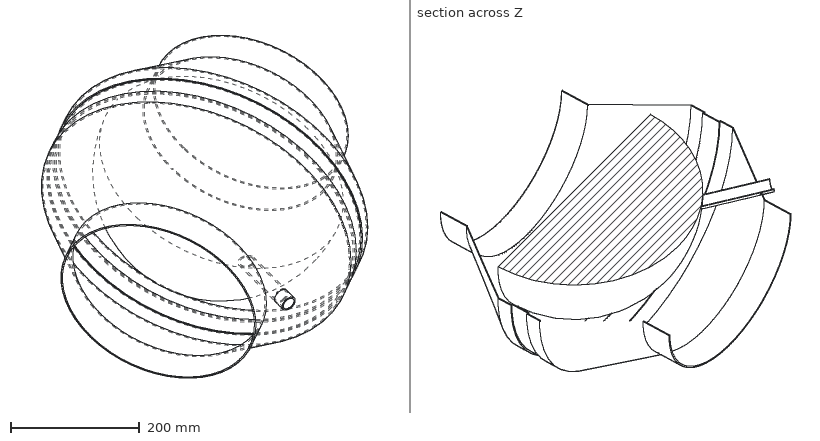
import cadquery as cq
import math

wall = 2.5
spigot_radius = 160.0
spigot_length = 50.0
cone_length = 130.0
collar_radius = 254.0
collar_length = 25.0
collar_gap = 30.0
band_radius = collar_radius - wall

collar_inner_y = collar_gap / 2
collar_outer_y = collar_inner_y + collar_length
cone_end_y = collar_outer_y + cone_length
housing_end_y = cone_end_y + spigot_length

band_overlap = 1.0
band_half_width = collar_inner_y + band_overlap

dome_radius = 200.0
dome_apex_y = -120.0
dome_back_y = dome_apex_y + dome_radius

tube_radius = 12.5
tube_bore_radius = 10.0
tube_protrusion = 20.0
tube_distance_from_spigot = 28.0
tube_length = 150.0


def revolve_about_y(profile):
    return profile.close().revolve(360, (0, 0, 0), (0, 1, 0))


def make_shell(side):
    """Spigot, cone and collar on one side; side is -1 for front, +1 for rear."""
    outer = [
        (collar_radius, side * collar_inner_y),
        (collar_radius, side * collar_outer_y),
        (spigot_radius, side * cone_end_y),
        (spigot_radius, side * housing_end_y),
    ]
    inner = [(radius - wall, y) for radius, y in reversed(outer)]
    return revolve_about_y(cq.Workplane("XY").polyline(outer + inner))


def make_band():
    profile = cq.Workplane("XY").polyline([
        (band_radius, -band_half_width),
        (band_radius, band_half_width),
        (band_radius - wall, band_half_width),
        (band_radius - wall, -band_half_width),
    ])
    return revolve_about_y(profile)


def make_dome():
    arc_middle = (
        dome_radius * math.sin(math.pi / 4),
        dome_back_y - dome_radius * math.cos(math.pi / 4),
    )
    profile = (
        cq.Workplane("XY")
        .moveTo(0, dome_back_y)
        .lineTo(0, dome_apex_y)
        .threePointArc(arc_middle, (dome_radius, dome_back_y))
    )
    return revolve_about_y(profile)


def make_tube_cylinder(radius):
    up_cone = cq.Vector(collar_radius - spigot_radius, cone_length, 0).normalized()
    outward = cq.Vector(up_cone.y, -up_cone.x, 0)
    cone_edge = cq.Vector(spigot_radius, -cone_end_y, 0)
    start = cone_edge + up_cone * tube_distance_from_spigot + outward * tube_protrusion
    return cq.Workplane(cq.Solid.makeCylinder(radius, tube_length, start, outward * -1))


housing = make_shell(-1).union(make_shell(1)).union(make_band())
tube = make_tube_cylinder(tube_radius)
tube_bore = make_tube_cylinder(tube_bore_radius)
result = housing.union(tube).cut(tube_bore).union(make_dome())